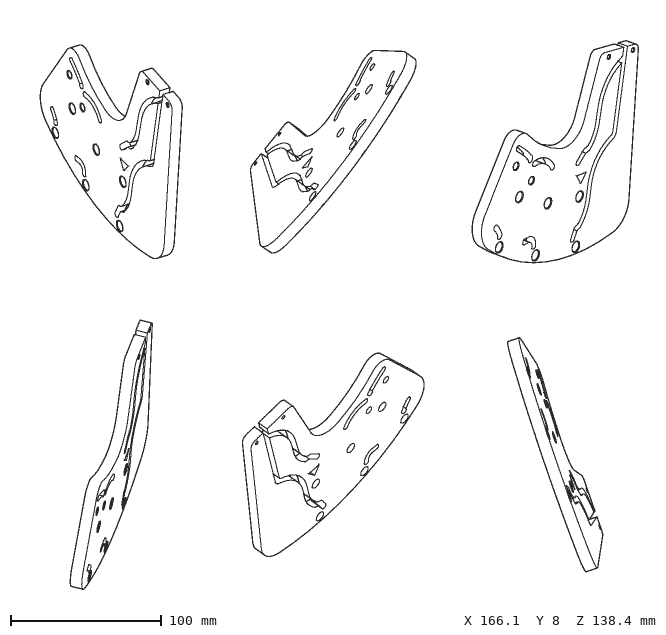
import cadquery as cq
import math

PLATE_THICKNESS = 8.0
SLOT_WIDTH = 4.0
HOLE_CHAMFER = 0.5
PASS_THROUGH = 2 * PLATE_THICKNESS
TOUCHING_GAP = 0.01

LARGE_CORNER_RADIUS = 20.0
SHOULDER_RADIUS = 10.0
ARM_CORNER_RADIUS = 5.0
BOTTOM_RADIUS = 170.0
SADDLE_RADIUS = 86.5
THROAT_RADIUS = 20.0

LEFT_CORNER = (LARGE_CORNER_RADIUS, 56.0)
SHOULDER = (41.85, 102.7)
THROAT = (90.15, 104.4)
ARM_LEFT_CORNER = (129.5, 133.4)
ARM_RIGHT_CORNER = (161.06, 127.2)
RIGHT_CORNER = (136.2, 21.2)

EXIT_ANGLE = math.radians(78.7)
EXIT_POINT = (153.4, 138.5)
EXIT_BEND_RADIUS = 4.0
GUIDE_LOWER_RADIUS = 24.5
GUIDE_UPPER_RADIUS = 34.5

GUIDE_SLOTS = [
    [(102.2, 67.6), (109.5, 73.55), (113.35, 73.95), (98.7, 94.0), (159.0, 92.9)],
    [(96.2, 13.1), (99.6, 19.3), (103.4, 20.5), (88.4, 40.7), (148.2, 39.5)],
]

HOLES = {
    7.0: [
        (40.25, 66.65), (70.4, 50.1), (103.85, 41.9), (18.95, 37.7), (57.3, 16.5), (99.95, 6.1),
    ],
    5.0: [(36.7, 90.85), (53.0, 73.75)],
    2.5: [(134.95, 133.3), (160.4, 128.4)],
}

SHORT_SLOTS = [
    [(39.2, 103.1), (44.0, 99.1), (52.2, 90.5), (51.7, 89.7)],
    [(15.2, 53.6), (18.1, 49.6), (19.7, 46.2), (19.2, 45.6)],
]
UPPER_ARC_SLOT = [(56.2, 85.1), (68.3, 82.3), (75.2, 75.1)]
HOOK_SLOT_START = (45.7, 31.1)
HOOK_SLOT_ARC = [(49.8, 31.1), (53.6, 29.4), (55.3, 24.1)]

ARROW_POINTS = [(100.7, 58.4), (110.8, 57.2), (105.0, 51.0)]


def point_at(centre, radius, angle):
    return (centre[0] + radius * math.cos(angle), centre[1] + radius * math.sin(angle))


def centre_from_distances(first, first_distance, second, second_distance):
    """Point at the given distances from two points, to the left of the way from first to second."""
    span = math.dist(first, second)
    bearing = math.atan2(second[1] - first[1], second[0] - first[0])
    cosine = (first_distance**2 + span**2 - second_distance**2) / (2 * span * first_distance)
    return point_at(first, first_distance, bearing + math.acos(cosine))


def link(first, second):
    """Points where the path leaves one circle and joins the next, along their common tangent.

    A circle is (centre, radius); the radius is positive where the path turns clockwise and
    negative where it turns counter-clockwise.
    """
    (first_centre, first_radius), (second_centre, second_radius) = first, second
    span = math.dist(first_centre, second_centre)
    bearing = math.atan2(second_centre[1] - first_centre[1], second_centre[0] - first_centre[0])
    cosine = (first_radius - second_radius) / span
    normal = bearing + math.acos(max(-1.0, min(1.0, cosine)))
    return point_at(first_centre, first_radius, normal), point_at(second_centre, second_radius, normal)


def add_arc(path, circle, start, end):
    """Continue the path from start to end along the shorter arc of the circle."""
    centre, radius = circle
    chord_middle = ((start[0] + end[0]) / 2, (start[1] + end[1]) / 2)
    toward_middle = math.atan2(chord_middle[1] - centre[1], chord_middle[0] - centre[0])
    return path.threePointArc(point_at(centre, abs(radius), toward_middle), end)


def add_line(path, start, end):
    """Continue the path with a straight, unless the two arcs touch directly."""
    if math.dist(start, end) < TOUCHING_GAP:
        return path, start
    return path.lineTo(*end), end


def extrude_through(path):
    return path.extrude(PASS_THROUGH, both=True)


def slot_cutter(path):
    """Sweep the slot width along an open centreline, with round ends."""
    return extrude_through(path.wire().offset2D(SLOT_WIDTH / 2))


def make_plate():
    saddle = centre_from_distances(
        SHOULDER, SHOULDER_RADIUS + SADDLE_RADIUS, THROAT, SADDLE_RADIUS - THROAT_RADIUS
    )
    corner_to_bottom = BOTTOM_RADIUS - LARGE_CORNER_RADIUS
    bottom = centre_from_distances(LEFT_CORNER, corner_to_bottom, RIGHT_CORNER, corner_to_bottom)
    circles = [
        (LEFT_CORNER, LARGE_CORNER_RADIUS),
        (SHOULDER, SHOULDER_RADIUS),
        (saddle, -SADDLE_RADIUS),
        (THROAT, -THROAT_RADIUS),
        (ARM_LEFT_CORNER, ARM_CORNER_RADIUS),
        (ARM_RIGHT_CORNER, ARM_CORNER_RADIUS),
        (RIGHT_CORNER, LARGE_CORNER_RADIUS),
        (bottom, BOTTOM_RADIUS),
    ]
    start = link(circles[-1], circles[0])[1]
    path = cq.Workplane("XZ").moveTo(*start)
    position = start
    for index, circle in enumerate(circles):
        leave, join = link(circle, circles[(index + 1) % len(circles)])
        path = add_arc(path, circle, position, leave)
        path, position = add_line(path, leave, join)
    return path.close().extrude(-PLATE_THICKNESS)


def guide_slot(blind_end, first_knee, second_knee, lower_centre, upper_centre):
    """Kinked blind end, an S of two opposite arcs, then a bend into the shared straight exit."""
    exit_side_point = point_at(EXIT_POINT, EXIT_BEND_RADIUS, EXIT_ANGLE + math.pi / 2)
    to_upper = (upper_centre[0] - exit_side_point[0], upper_centre[1] - exit_side_point[1])
    along = to_upper[0] * math.cos(EXIT_ANGLE) + to_upper[1] * math.sin(EXIT_ANGLE)
    across = to_upper[0] * math.sin(EXIT_ANGLE) - to_upper[1] * math.cos(EXIT_ANGLE)
    rise = math.sqrt((GUIDE_UPPER_RADIUS + EXIT_BEND_RADIUS) ** 2 - across**2)
    bend_centre = point_at(exit_side_point, along + rise, EXIT_ANGLE)

    lower = (lower_centre, -GUIDE_LOWER_RADIUS)
    upper = (upper_centre, GUIDE_UPPER_RADIUS)
    bend = (bend_centre, -EXIT_BEND_RADIUS)
    lower_end, upper_start = link(lower, upper)
    upper_end = link(upper, bend)[0]
    bend_end = point_at(bend_centre, EXIT_BEND_RADIUS, EXIT_ANGLE - math.pi / 2)

    path = cq.Workplane("XZ").polyline([blind_end, first_knee, second_knee])
    path = add_arc(path, lower, second_knee, lower_end)
    path, upper_start = add_line(path, lower_end, upper_start)
    path = add_arc(path, upper, upper_start, upper_end)
    path = add_arc(path, bend, upper_end, bend_end)
    return slot_cutter(path.lineTo(*EXIT_POINT))


def short_slot(start, middle, arc_end, tail_end):
    path = cq.Workplane("XZ").moveTo(*start).threePointArc(middle, arc_end).lineTo(*tail_end)
    return slot_cutter(path)


def upper_arc_slot():
    start, middle, end = UPPER_ARC_SLOT
    return slot_cutter(cq.Workplane("XZ").moveTo(*start).threePointArc(middle, end))


def hook_slot():
    arc_start, middle, end = HOOK_SLOT_ARC
    path = cq.Workplane("XZ").moveTo(*HOOK_SLOT_START).lineTo(*arc_start).threePointArc(middle, end)
    return slot_cutter(path)


def chamfered_hole(centre, diameter):
    """Through hole with a chamfered rim on the front face."""
    radius = diameter / 2
    bore = extrude_through(cq.Workplane("XZ").center(*centre).circle(radius))
    rim = cq.Solid.makeCone(
        radius + HOLE_CHAMFER,
        radius,
        HOLE_CHAMFER,
        pnt=cq.Vector(centre[0], 0, centre[1]),
        dir=cq.Vector(0, 1, 0),
    )
    return bore.union(cq.Workplane(obj=rim))


def arrow_window():
    return extrude_through(cq.Workplane("XZ").polyline(ARROW_POINTS).close())


result = make_plate()
for guide_points in GUIDE_SLOTS:
    result = result.cut(guide_slot(*guide_points))
for slot_points in SHORT_SLOTS:
    result = result.cut(short_slot(*slot_points))
result = result.cut(upper_arc_slot())
result = result.cut(hook_slot())
for hole_diameter, centres in HOLES.items():
    for hole_centre in centres:
        result = result.cut(chamfered_hole(hole_centre, hole_diameter))
result = result.cut(arrow_window())